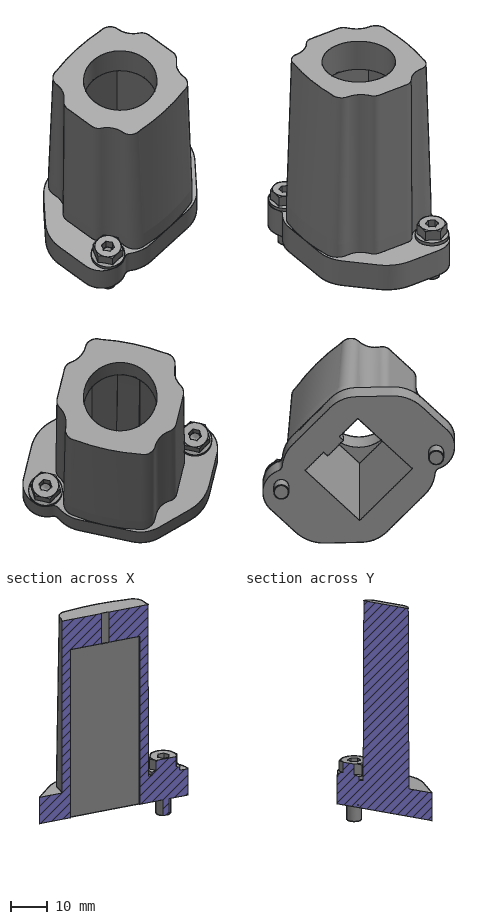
import cadquery as cq
import math

plate_thickness = 8.1
pin_length = 4.8
overall_height = 64.85
upright_end_height = 4.1
upright_side_height = 5.85
housing_top = overall_height - pin_length
end_draft_start = plate_thickness + upright_end_height
collar_top = plate_thickness + upright_side_height

plate_half_width = 36.0 / 2
plate_half_length = 50.0 / 2
side_radius = 10.0
end_radius = 11.5
ear_radius = 6.7
notch_radius = 1.75
ear_x = 9.55
side_arc_y = 7.5
cut_normal = 225.0

screw_x = 11.8
screw_y = 18.3
head_across_flats = 7.2
head_height = 4.35
head_top = plate_thickness + head_height
head_chamfer_angle = 30.0
flange_radius = 4.6
flange_rim = 1.0
flange_cone = 0.3
socket_across_flats = 3.05
socket_depth = 2.6
socket_cone_depth = 0.9
pin_radius = 2.1
pin_chamfer = 0.2

bore_radius = 10.05
bore_depth = 9.3
cavity_side = 20.75
key_width = 6.2
key_reach = 8.8
key_slope_depth = 16.2
key_slope_start = housing_top - key_slope_depth

hollow_sweep = 60.0
collar_half_width = 17.95
collar_corner = (17.05, 9.55)
collar_shoulder = (13.2, 12.8)
collar_flat_end = (4.6, 16.9)
top_half_width = 15.95
top_corner = (15.25, 9.15)
top_shoulder = (12.05, 12.6)
top_flat_end = (4.4, 16.7)


def on_circle(center, radius, degrees):
    angle = math.radians(degrees)
    return (center[0] + radius * math.cos(angle), center[1] + radius * math.sin(angle))


def unturned(point):
    return point


def opposite(point):
    return (-point[0], -point[1])


def point_between(start, end, fraction):
    return tuple(a + (b - a) * fraction for a, b in zip(start, end))


def circle_crossing(center_a, radius_a, center_b, radius_b):
    """Crossing of two circles that lies to the left of the way from a to b."""
    dx = center_b[0] - center_a[0]
    dy = center_b[1] - center_a[1]
    distance = math.hypot(dx, dy)
    along = (distance**2 + radius_a**2 - radius_b**2) / (2 * distance)
    across = math.sqrt(radius_a**2 - along**2)
    x = center_a[0] + (along * dx - across * dy) / distance
    y = center_a[1] + (along * dy + across * dx) / distance
    return (x, y)


def make_plate():
    lower_side = (side_radius - plate_half_width, -side_arc_y)
    upper_side = (side_radius - plate_half_width, side_arc_y)
    ear = (-ear_x, plate_half_length - ear_radius)
    end = (0, end_radius - plate_half_length)
    notch = circle_crossing(upper_side, side_radius, ear, ear_radius)
    notch_angle = math.degrees(math.atan2(notch[1] - upper_side[1], notch[0] - upper_side[0]))
    ear_angle = math.degrees(math.atan2(notch[1] - ear[1], notch[0] - ear[0])) % 360

    arcs = (
        (end, end_radius, 270, cut_normal),
        (lower_side, side_radius, cut_normal, 180),
        (upper_side, side_radius, 180, notch_angle),
        (ear, ear_radius, ear_angle, 90),
    )
    outline = cq.Workplane("XY").moveTo(ear_x, -plate_half_length)
    for turn in (unturned, opposite):
        for center, radius, first, last in arcs:
            middle = (first + last) / 2
            if first != ear_angle:
                outline = outline.lineTo(*turn(on_circle(center, radius, first)))
            outline = outline.threePointArc(
                turn(on_circle(center, radius, middle)), turn(on_circle(center, radius, last))
            )
    plate = outline.close().extrude(plate_thickness)
    for point in (notch, opposite(notch)):
        edge = cq.selectors.NearestToPointSelector((*point, plate_thickness / 2))
        plate = plate.edges("|Z").edges(edge).fillet(notch_radius)
    return plate


def housing_outline(z, half_width, corner, shoulder, flat_end):
    """Housing section, symmetric about X and Y.

    In each quarter a flat end runs into a hollow around the screw, then a shoulder and a rounded
    corner that starts at `shoulder` and stops at `corner`. Bulged sides join the corners.
    """
    hollow_end = on_circle((screw_x, screw_y), screw_y - shoulder[1], 270 - hollow_sweep)
    quarter = (
        cq.Workplane("XY")
        .moveTo(0, flat_end[1])
        .lineTo(*flat_end)
        .tangentArcPoint(hollow_end, relative=False)
        .tangentArcPoint((screw_x, shoulder[1]), relative=False)
        .lineTo(*shoulder)
        .tangentArcPoint(corner, relative=False)
        .wire()
    )
    side = (
        cq.Workplane("XY")
        .moveTo(corner[0], -corner[1])
        .threePointArc((half_width, 0), corner)
        .wire()
    )
    half = quarter.vals() + quarter.mirror("XZ").vals() + side.vals()
    mirrored_half = [wire.mirror("YZ") for wire in half]
    return cq.Wire.combine(half + mirrored_half)[0].translate(cq.Vector(0, 0, z))


def make_housing():
    """Upright collar whose ends start to draft a little below its sides."""
    collar_shape = (collar_half_width, collar_corner, collar_shoulder, collar_flat_end)
    top_shape = (top_half_width, top_corner, top_shoulder, top_flat_end)
    base = housing_outline(plate_thickness, *collar_shape)
    end_draft = housing_outline(end_draft_start, *collar_shape)
    draft_done = (collar_top - end_draft_start) / (housing_top - end_draft_start)
    side_draft = housing_outline(
        collar_top,
        collar_half_width,
        collar_corner,
        point_between(collar_shoulder, top_shoulder, draft_done),
        point_between(collar_flat_end, top_flat_end, draft_done),
    )
    top = housing_outline(housing_top, *top_shape)
    return cq.Workplane(cq.Solid.makeLoft([base, end_draft, side_draft, top], True))


def make_cavity():
    """Bore opening into a square cavity, with a key left standing on its +X wall."""
    bore = cq.Workplane("XY").workplane(offset=housing_top).circle(bore_radius).extrude(-bore_depth)
    bore_floor = housing_top - bore_depth
    cavity = cq.Workplane("XY").rect(cavity_side, cavity_side).extrude(bore_floor)
    key = (
        cq.Workplane("XZ")
        .moveTo(cavity_side / 2, 0)
        .lineTo(key_reach, 0)
        .lineTo(bore_radius, key_slope_start)
        .lineTo(bore_radius, bore_floor)
        .lineTo(cavity_side / 2, bore_floor)
        .close()
        .extrude(key_width / 2, both=True)
    )
    bore_run = cq.Workplane("XY").workplane(offset=key_slope_start).circle(bore_radius)
    key = key.cut(bore_run.extrude(housing_top - key_slope_start))
    return bore.union(cavity.cut(key))


def across_corners(across_flats):
    return across_flats / math.cos(math.radians(30))


def hexagon(z, across_flats):
    """Hexagon with two corners on the Y axis."""
    base = cq.Workplane("XY", origin=(0, 0, z))
    return base.transformed(rotate=(0, 0, 90)).polygon(6, across_corners(across_flats))


def make_screw():
    """Hexagon flange screw with a blind hexagon socket, and its pin below the plate."""
    cone_top = plate_thickness + flange_rim + flange_cone
    corner_diameter = across_corners(head_across_flats)
    chamfer_width = (corner_diameter - head_across_flats) / 2
    chamfer_drop = chamfer_width * math.tan(math.radians(head_chamfer_angle))

    profile = (
        cq.Workplane("XZ")
        .moveTo(0, -pin_length)
        .lineTo(pin_radius - pin_chamfer, -pin_length)
        .lineTo(pin_radius, pin_chamfer - pin_length)
        .lineTo(pin_radius, plate_thickness)
        .lineTo(flange_radius, plate_thickness)
        .lineTo(flange_radius, plate_thickness + flange_rim)
        .lineTo(head_across_flats / 2, cone_top)
        .lineTo(0, cone_top)
        .close()
    )
    body = profile.revolve(360, (0, 0, 0), (0, 1, 0))

    seat = plate_thickness + flange_rim
    head = hexagon(seat, head_across_flats).extrude(head_top - seat)
    crown = (
        cq.Workplane("XZ")
        .moveTo(0, seat)
        .lineTo(corner_diameter / 2, seat)
        .lineTo(corner_diameter / 2, head_top - chamfer_drop)
        .lineTo(head_across_flats / 2, head_top)
        .lineTo(0, head_top)
        .close()
        .revolve(360, (0, 0, 0), (0, 1, 0))
    )
    socket_floor = head_top - socket_depth
    socket = hexagon(socket_floor, socket_across_flats).extrude(socket_depth)
    cone_point = cq.Vector(0, 0, socket_floor - socket_cone_depth)
    tip = cq.Solid.makeCone(0, socket_across_flats / 2, socket_cone_depth, pnt=cone_point)
    return body.union(head.intersect(crown)).cut(socket).cut(cq.Workplane(tip))


screw = make_screw()
result = make_plate().union(make_housing()).cut(make_cavity())
for position in ((-screw_x, screw_y), (screw_x, -screw_y)):
    result = result.union(screw.translate((*position, 0)))